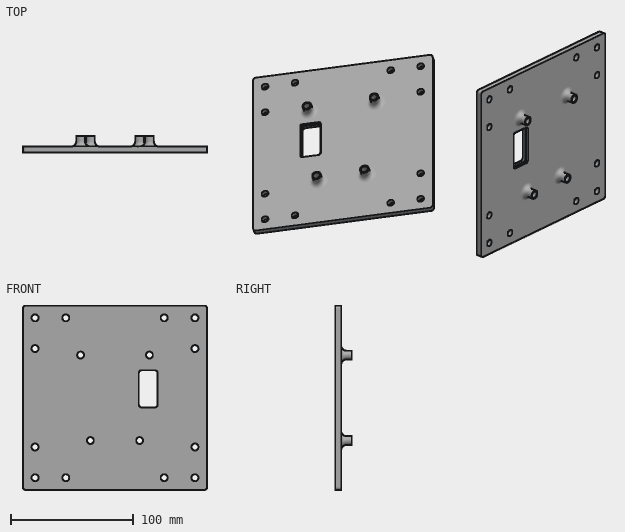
import cadquery as cq

plate_size = 150.0
plate_thickness = 5.0
plate_corner_radius = 2.5

border_hole_diameter = 5.5
border_hole_outer = 65.0
border_hole_inner = 40.0

overall_depth = 13.5
standoff_diameter = 7.4
standoff_bore = 5.4
standoff_flare_radius = 4.0
upper_standoff_x = 28.0
lower_standoff_x = 20.0
standoff_z = 34.75

window_width = 15.0
window_height = 30.0
window_center_x = 27.0
window_center_z = 7.25
window_corner_radius = 2.0

step_depth = 2.0
step_margin = 1.1
step_corner_radius = 2.0

border_hole_points = [
    (side_x * x, side_z * z)
    for x, z in [
        (border_hole_outer, border_hole_outer),
        (border_hole_outer, border_hole_inner),
        (border_hole_inner, border_hole_outer),
    ]
    for side_x in (-1, 1)
    for side_z in (-1, 1)
]

standoff_points = [
    (side * x, z)
    for x, z in [(upper_standoff_x, standoff_z), (lower_standoff_x, -standoff_z)]
    for side in (-1, 1)
]


def make_plate():
    """Plate with rounded corners, from Y = 0 to its thickness."""
    plate = cq.Workplane("XZ").rect(plate_size, plate_size).extrude(-plate_thickness)
    return plate.edges("|Y").fillet(plate_corner_radius)


def make_standoff(x, z):
    """Post on the back face whose foot flares out in a concave quarter circle."""
    post_radius = standoff_diameter / 2
    foot_radius = post_radius + standoff_flare_radius
    flare_top = plate_thickness + standoff_flare_radius
    profile = (
        cq.Workplane("XY")
        .moveTo(0, plate_thickness)
        .lineTo(foot_radius, plate_thickness)
        .radiusArc((post_radius, flare_top), standoff_flare_radius)
        .lineTo(post_radius, overall_depth)
        .lineTo(0, overall_depth)
        .close()
    )
    standoff = profile.revolve(axisStart=(0, 0, 0), axisEnd=(0, 1, 0))
    return standoff.translate((x, 0, z))


def make_through_holes(points, diameter):
    """Cylinders along Y that reach through the plate and the standoffs."""
    return cq.Workplane("XZ").pushPoints(points).circle(diameter / 2).extrude(-overall_depth)


def make_window_cutter(width, height, corner_radius, depth):
    """Rounded rectangular cutter that reaches from the back face down to the given depth."""
    window = (
        cq.Workplane("XZ", origin=(window_center_x, plate_thickness, window_center_z))
        .rect(width, height)
        .extrude(depth)
    )
    return window.edges("|Y").fillet(corner_radius)


result = make_plate()
for point_x, point_z in standoff_points:
    result = result.union(make_standoff(point_x, point_z))
result = result.cut(make_through_holes(border_hole_points, border_hole_diameter))
result = result.cut(make_through_holes(standoff_points, standoff_bore))
result = result.cut(
    make_window_cutter(window_width, window_height, window_corner_radius, plate_thickness)
)
result = result.cut(
    make_window_cutter(
        window_width + 2 * step_margin,
        window_height + 2 * step_margin,
        step_corner_radius,
        step_depth,
    )
)